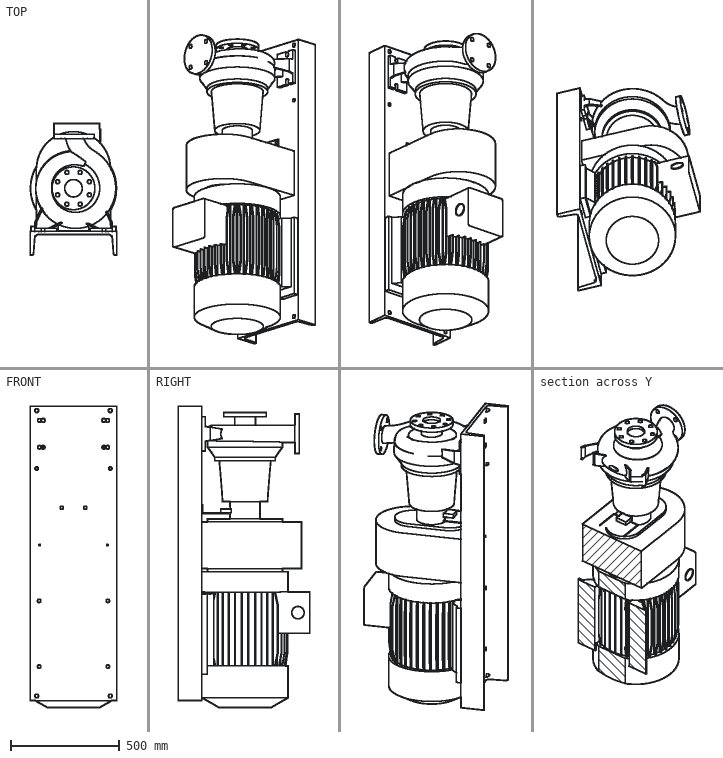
import cadquery as cq
import math


shaft_y = 200.0
motor_bottom = -32.0
motor_top = 597.0
guard_plate_thickness = 14.0
guard_bottom = motor_top + guard_plate_thickness
guard_top = 827.0
neck_bottom = guard_top + guard_plate_thickness

channel_length = 1363.0
channel_width = 400.0
channel_depth = 110.0
web_thickness = 15.0
flange_root_thickness = 22.0
flange_tip_thickness = 15.0
root_fillet = 17.0
toe_fillet = 10.0

volute_z = 1235.0
tube_radius = 40.0
volute_offset = 10.0
volute_radius = 145.0
volute_end_radius = 33.0
volute_end_angle = 65
outlet_bend_x = 75.0
outlet_bend_y = 338.0
outlet_x = 3.0
outlet_face_y = 450.0
outlet_flange_radius = 92.0
outlet_flange_thickness = 21.0
outlet_bolt_radius = 73.0
outlet_bolt_count = 4
casing_radius = 175.0
casing_bottom = 1173.0
casing_top = 1228.0
cover_radius = 141.0
cover_bottom = 1109.0
cover_top = 1126.0
bracket_bottom = 921.0
bracket_bottom_radius = 105.0
bracket_top_radius = 120.0
neck_radius = 70.0
face_cone_radius = 120.0
face_cone_edge_z = 1255.0
face_cone_top_z = 1270.0
inlet_neck_radius = 49.0
inlet_flange_radius = 99.0
inlet_flange_bottom = 1313.0
inlet_face_z = 1334.0
inlet_bolt_radius = 80.0
inlet_bolt_count = 8
inlet_bore_radius = 40.0
inlet_bore_depth = 14.0
flange_bolt_hole = 18.0

pad_inner_x = 78.0
pad_outer_x = 180.0
pad_thickness = 15.0
pad_length = 159.0
pad_hole_x = 141.0
pad_hole_pitch = 124.0
pad_hole = 17.0
rib_thickness = 7.0
rib_straight_y = 39.0
outer_rib_top_x = 148.0
outer_rib_top_y = 109.0
inner_rib_bottom_x = 99.0
inner_rib_foot = 14.0
inner_rib_top_x = 42.0
inner_rib_top_y = 45.0
rib_bottom_width = 70.0
rib_top_width = 39.0

strap_z = 865.0
strap_thickness = 4.0
strap_width = 140.0
strap_height = 42.0
strap_reach = 123.0
strap_hole_x = 55.0
strap_hole_z = 893.0
strap_block_width = 56.0
strap_block_start = 86.0
strap_block_height = 18.0

guard_half_width = 172.0
guard_arc_y = 290.0
guard_plate_radius = 86.0
guard_plate_half_pitch = 88.0

motor_radius = 200.0
end_ring_bottom = 502.0
cowl_bottom = 13.0
cowl_top = 160.0
cowl_end_radius = 121.0
core_radius = 180.0
fin_radius = 198.0
fins_per_side = 10
fin_step_angle = 10
fin_thickness = 4.0
fin_end_drop = 10.0
fin_end_length = 64.0
box_left = -90.0
box_right = 121.0
box_bottom = 311.0
box_top = 504.0
box_face_y = 500.0
box_fillet = 11.0
gland_bottom_y = 416.0
gland_top_y = 473.0
gland_height = 4.0
foot_half_width = 197.0
foot_inner_x = 98.0
foot_thickness = 24.0
foot_bottom = 123.0
foot_top = 494.0
foot_rib_outer_x = 177.0
foot_rib_top_x = 146.0
foot_rib_top_y = 56.0

web_holes = [
    (170.0, 22.0, 17.0),
    (159.0, 158.0, 15.0),
    (159.0, 462.0, 15.0),
    (156.0, 720.0, 7.0),
    (strap_hole_x, strap_hole_z, 15.0),
    (170.0, 1074.0, 14.0),
    (158.0, volute_z - pad_hole_pitch / 2, pad_hole),
    (pad_hole_x, volute_z - pad_hole_pitch / 2, pad_hole),
    (158.0, volute_z + pad_hole_pitch / 2, pad_hole),
    (pad_hole_x, volute_z + pad_hole_pitch / 2, pad_hole),
    (170.0, 1342.0, 17.0),
]


def plan(z):
    """Horizontal workplane at height z, with local axes along X and Y."""
    return cq.Workplane("XY", origin=(0, 0, z))


def shaft_plan(z):
    """Horizontal workplane at height z, centred on the shaft axis."""
    return cq.Workplane("XY", origin=(0, shaft_y, z))


def box_between(x0, x1, y0, y1, z0, z1):
    return cq.Workplane("XY").box(x1 - x0, y1 - y0, z1 - z0, centered=False).translate((x0, y0, z0))


def turned(profile):
    """Solid of revolution about the shaft axis from (radius, z) points."""
    return cq.Workplane("XZ", origin=(0, shaft_y, 0)).polyline(profile).close().revolve(360, (0, 0), (0, 1))


def mirrored_pair(solid):
    return solid.union(solid.mirror("YZ"))


def cross_drill(x, z, diameter, y_start, depth):
    """Pair of cylinders along +Y at +x and -x."""
    return (
        cq.Workplane("XZ", origin=(0, y_start, z))
        .pushPoints([(x, 0), (-x, 0)])
        .circle(diameter / 2)
        .extrude(-depth)
    )



def make_channel():
    half = channel_width / 2
    channel = (
        plan(0)
        .polyline([
            (-half, 0),
            (half, 0),
            (half, -channel_depth),
            (half - flange_tip_thickness, -channel_depth),
            (half - flange_root_thickness, -web_thickness),
            (-half + flange_root_thickness, -web_thickness),
            (-half + flange_tip_thickness, -channel_depth),
            (-half, -channel_depth),
        ])
        .close()
        .extrude(channel_length)
    )
    root_x = half - flange_root_thickness
    toe_x = half - flange_tip_thickness
    for side in (-1, 1):
        root_edge = cq.NearestToPointSelector((side * root_x, -web_thickness, channel_length / 2))
        channel = channel.edges("|Z").edges(root_edge).fillet(root_fillet)
        toe_edge = cq.NearestToPointSelector((side * toe_x, -channel_depth, channel_length / 2))
        channel = channel.edges("|Z").edges(toe_edge).fillet(toe_fillet)
    for x, z, diameter in web_holes:
        channel = channel.cut(cross_drill(x, z, diameter, -channel_depth, channel_depth))
    return channel



def make_pump_casing():
    """Turned parts below the volute: neck, bearing bracket, cover and back casing."""
    return turned([
        (0, neck_bottom),
        (neck_radius, neck_bottom),
        (neck_radius, bracket_bottom),
        (bracket_bottom_radius, bracket_bottom),
        (bracket_top_radius, cover_bottom),
        (cover_radius, cover_bottom),
        (cover_radius, cover_top),
        (casing_radius, casing_bottom),
        (casing_radius, casing_top),
        (0, casing_top),
    ])


def make_volute():
    """Spiral tube: a tapering start, an eccentric half ring and an outlet bend."""
    left_x = volute_offset - volute_radius
    right_x = volute_offset + volute_radius
    main_path = (
        plan(volute_z)
        .moveTo(left_x, shaft_y)
        .threePointArc((volute_offset, shaft_y - volute_radius), (right_x, shaft_y))
        .tangentArcPoint((outlet_bend_x, outlet_bend_y), relative=False)
        .tangentArcPoint((outlet_x, outlet_face_y - outlet_flange_thickness / 2), relative=False)
    )
    main_tube = cq.Workplane("XZ", origin=(left_x, shaft_y, volute_z)).circle(tube_radius).sweep(main_path)

    start_radius = -left_x
    end_angle = math.radians(volute_end_angle)
    mid_angle = (math.pi + end_angle) / 2
    end_x = start_radius * math.cos(end_angle)
    end_y = start_radius * math.sin(end_angle)
    start_path = shaft_plan(volute_z).moveTo(left_x, 0).threePointArc(
        (start_radius * math.cos(mid_angle), start_radius * math.sin(mid_angle)),
        (end_x, end_y),
    )
    end_plane = cq.Plane(
        origin=(end_x, shaft_y + end_y, volute_z),
        xDir=(math.cos(end_angle), math.sin(end_angle), 0),
        normal=(math.sin(end_angle), -math.cos(end_angle), 0),
    )
    start_plane = cq.Plane(origin=(left_x, shaft_y, volute_z), xDir=(-1, 0, 0), normal=(0, 1, 0))
    first = cq.Workplane(start_plane).circle(tube_radius).wires().val()
    last = cq.Workplane(end_plane).circle(volute_end_radius).wires().val()
    spiral_start = cq.Workplane("XY").newObject([
        cq.Solid.sweep_multi([first, last], start_path.val())
    ])
    return main_tube.union(spiral_start)


def make_outlet_flange():
    flange = (
        cq.Workplane("XZ", origin=(outlet_x, outlet_face_y, volute_z))
        .circle(outlet_flange_radius)
        .extrude(outlet_flange_thickness)
    )
    bolt_holes = (
        cq.Workplane("XZ", origin=(outlet_x, outlet_face_y, volute_z))
        .polarArray(outlet_bolt_radius, 180 / outlet_bolt_count, 360, outlet_bolt_count)
        .circle(flange_bolt_hole / 2)
        .extrude(outlet_flange_thickness)
    )
    return flange.cut(bolt_holes)


def make_inlet():
    """Shallow front cone, neck and flange of the suction side, with a shallow bore."""
    face_cone = turned([
        (0, casing_bottom),
        (face_cone_radius, casing_bottom),
        (face_cone_radius, face_cone_edge_z),
        (inlet_neck_radius, face_cone_top_z),
        (0, face_cone_top_z),
    ]).translate((volute_offset, 0, 0))
    neck = shaft_plan(casing_top).circle(inlet_neck_radius).extrude(inlet_face_z - casing_top)
    flange = (
        shaft_plan(inlet_flange_bottom)
        .circle(inlet_flange_radius)
        .extrude(inlet_face_z - inlet_flange_bottom)
    )
    bolt_holes = (
        shaft_plan(inlet_flange_bottom)
        .polarArray(inlet_bolt_radius, 180 / inlet_bolt_count, 360, inlet_bolt_count)
        .circle(flange_bolt_hole / 2)
        .extrude(inlet_face_z - inlet_flange_bottom)
    )
    bore = shaft_plan(inlet_face_z).circle(inlet_bore_radius).extrude(-inlet_bore_depth)
    return face_cone.union(neck).union(flange.cut(bolt_holes)).cut(bore)


def make_pump_feet():
    """Two pads slotted from both ends, each with two inclined ribs that narrow towards the volute."""
    pad = box_between(
        pad_inner_x, pad_outer_x, 0, pad_thickness, volute_z - pad_length / 2, volute_z + pad_length / 2
    )
    outer_rib = (
        plan(volute_z - rib_bottom_width / 2)
        .polyline([
            (pad_outer_x, pad_thickness),
            (pad_outer_x, rib_straight_y),
            (outer_rib_top_x, outer_rib_top_y),
            (outer_rib_top_x - rib_thickness, outer_rib_top_y),
            (pad_outer_x - rib_thickness, rib_straight_y),
            (pad_outer_x - rib_thickness, pad_thickness),
        ])
        .close()
        .extrude(rib_bottom_width)
    )
    inner_rib = (
        plan(volute_z - rib_bottom_width / 2)
        .polyline([
            (inner_rib_bottom_x, pad_thickness),
            (inner_rib_top_x, inner_rib_top_y),
            (inner_rib_top_x, inner_rib_top_y + rib_thickness),
            (inner_rib_bottom_x + inner_rib_foot, pad_thickness),
        ])
        .close()
        .extrude(rib_bottom_width)
    )
    taper = (
        cq.Workplane("YZ")
        .polyline([
            (pad_thickness, volute_z - rib_bottom_width / 2),
            (outer_rib_top_y, volute_z - rib_top_width / 2),
            (outer_rib_top_y, volute_z + rib_top_width / 2),
            (pad_thickness, volute_z + rib_bottom_width / 2),
        ])
        .close()
        .extrude(pad_outer_x)
    )
    feet = mirrored_pair(pad.union(outer_rib.union(inner_rib).intersect(taper)))
    for z in (volute_z - pad_hole_pitch / 2, volute_z + pad_hole_pitch / 2):
        feet = feet.cut(cross_drill(pad_hole_x, z, pad_hole, 0, pad_thickness))
    slot = (
        cq.Workplane("XY")
        .box(pad_hole, pad_thickness, pad_length - pad_hole_pitch)
        .translate((pad_hole_x, pad_thickness / 2, 0))
    )
    for end_z in (volute_z - pad_length / 2, volute_z + pad_length / 2):
        feet = feet.cut(mirrored_pair(slot.translate((0, 0, end_z))))
    return feet


def make_support_strap():
    """Angle strap bolted to the web, with a block that carries the pump neck."""
    half = strap_width / 2
    upright = box_between(-half, half, 0, strap_thickness, strap_z, strap_z + strap_height)
    shelf = box_between(-half, half, 0, strap_reach, strap_z, strap_z + strap_thickness)
    block = box_between(
        -strap_block_width / 2,
        strap_block_width / 2,
        strap_block_start,
        shaft_y - neck_radius / 2,
        strap_z + strap_thickness,
        strap_z + strap_thickness + strap_block_height,
    )
    return upright.union(shelf).union(block)


def make_pump():
    return (
        make_volute()
        .union(make_pump_feet())
        .union(make_pump_casing())
        .union(make_outlet_flange())
        .union(make_inlet())
        .union(make_support_strap())
    )



def make_guard():
    housing = (
        plan(guard_bottom)
        .moveTo(-guard_half_width, 0)
        .lineTo(guard_half_width, 0)
        .lineTo(guard_half_width, guard_arc_y)
        .threePointArc((0, guard_arc_y + guard_half_width), (-guard_half_width, guard_arc_y))
        .close()
        .extrude(guard_top - guard_bottom)
    )
    plates = (
        shaft_plan(guard_bottom - guard_plate_thickness)
        .slot2D(2 * (guard_plate_half_pitch + guard_plate_radius), 2 * guard_plate_radius, 90)
        .extrude(neck_bottom - guard_bottom + guard_plate_thickness)
    )
    return housing.union(plates)



def make_motor_frame():
    """Turned frame: fan cowl with conical end, core and drive-end ring."""
    return turned([
        (0, motor_bottom),
        (cowl_end_radius, motor_bottom),
        (motor_radius, cowl_bottom),
        (motor_radius, cowl_top),
        (core_radius, cowl_top),
        (core_radius, end_ring_bottom),
        (motor_radius, end_ring_bottom),
        (motor_radius, motor_top),
        (0, motor_top),
    ])


def make_fins():
    """Flat fins on the four sides of the core, evenly stepped around it, inside a barrel-like envelope."""
    envelope = turned([
        (0, cowl_top),
        (fin_radius - fin_end_drop, cowl_top),
        (fin_radius, cowl_top + fin_end_length),
        (fin_radius, end_ring_bottom - fin_end_length),
        (fin_radius - fin_end_drop, end_ring_bottom),
        (0, end_ring_bottom),
    ])
    offsets = [
        core_radius * math.sin(math.radians((i + 0.5 - fins_per_side / 2) * fin_step_angle))
        for i in range(fins_per_side)
    ]
    fin_centre_z = (cowl_top + end_ring_bottom) / 2
    centre = cq.Workplane("XY", origin=(0, shaft_y, fin_centre_z))
    fin_length = end_ring_bottom - cowl_top
    level = centre.pushPoints([(0, offset) for offset in offsets])
    upright = centre.pushPoints([(offset, 0) for offset in offsets])
    level_fins = level.box(2 * fin_radius, fin_thickness, fin_length)
    upright_fins = upright.box(fin_thickness, 2 * fin_radius, fin_length)
    return level_fins.union(upright_fins).intersect(envelope)


def make_terminal_box():
    box = box_between(box_left, box_right, shaft_y, box_face_y, box_bottom, box_top)
    box = box.edges("|Y").fillet(box_fillet)
    gland = (
        cq.Workplane("YZ", origin=(box_right, (gland_bottom_y + gland_top_y) / 2, (box_bottom + box_top) / 2))
        .circle((gland_top_y - gland_bottom_y) / 2)
        .extrude(gland_height)
    )
    return box.union(gland)


def make_motor_feet():
    """Two foot rails with sloped ribs rising into the core."""
    rail = box_between(foot_inner_x, foot_half_width, 0, foot_thickness, foot_bottom, foot_top)
    rib = (
        plan(cowl_top)
        .polyline([
            (foot_inner_x, foot_thickness),
            (foot_rib_outer_x, foot_thickness),
            (foot_rib_top_x, foot_rib_top_y),
            (foot_inner_x, foot_rib_top_y),
        ])
        .close()
        .extrude(foot_top - cowl_top)
    )
    return mirrored_pair(rail.union(rib))


def make_motor():
    return make_motor_frame().union(make_fins()).union(make_terminal_box()).union(make_motor_feet())


channel = make_channel()
pump = make_pump()
guard = make_guard()
motor = make_motor()

bodies = [channel, pump, guard, motor]
result = cq.Compound.makeCompound([body.solids().val() for body in bodies])